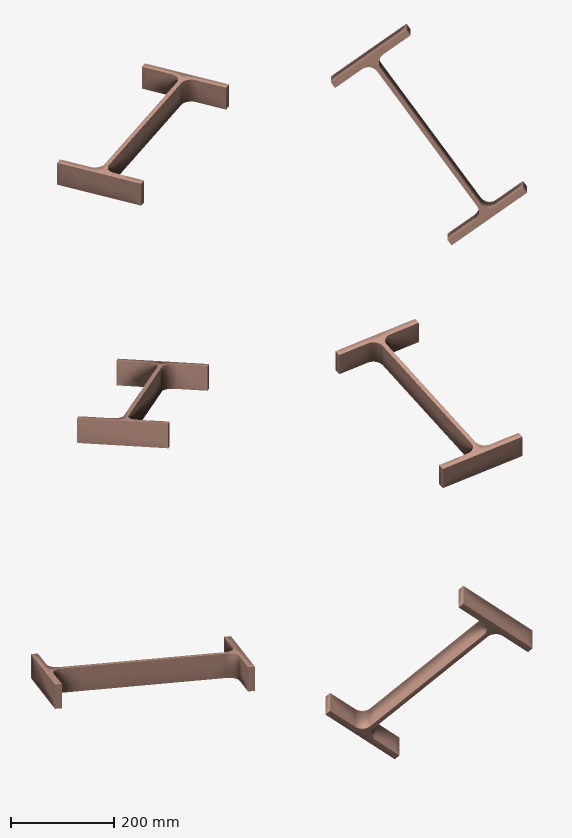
import cadquery as cq

section_depth = 400.0
flange_width = 180.0
flange_thickness = 13.5
web_thickness = 9.0
root_radius = 21.0
beam_length = 50.0


def flange(side):
    """Flange plate at the +Y (side = 1) or -Y (side = -1) end of the section."""
    center_y = side * (section_depth - flange_thickness) / 2
    return (
        cq.Workplane("XY")
        .center(0, center_y)
        .rect(flange_width, flange_thickness)
        .extrude(beam_length)
    )


beam = cq.Workplane("XY").rect(web_thickness, section_depth).extrude(beam_length)
for side in (-1, 1):
    beam = beam.union(flange(side))

root_zone = cq.selectors.BoxSelector(
    (-web_thickness, -section_depth / 2 + flange_thickness / 2, 0),
    (web_thickness, section_depth / 2 - flange_thickness / 2, beam_length),
)
result = beam.edges("|Z").edges(root_zone).fillet(root_radius)